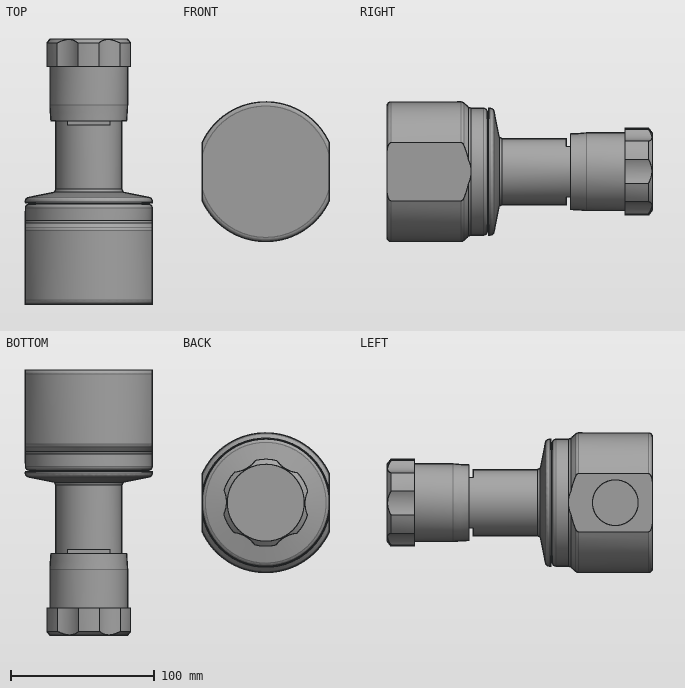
import cadquery as cq
import math

total_length = 185.5

head_diameter = 97.8
head_radius = head_diameter / 2
width_across_flats = 88.9
head_end_y = 52.9
head_front_round = 3.0
head_back_round = 3.0

ring_radius = width_across_flats / 2
ring_start_y = 58.8
ring_end_y = 70.1
ring_round = 2.8
root_cone_start_y = 57.0
root_cone_height = 0.7

groove_radius = 37.1
groove_width = 1.0

flange_start_y = ring_end_y + groove_width
flange_rim_width = 3.3
flange_round = 2.8
cone_small_radius = 24.1
cone_end_y = 78.5

shank_radius = 23.2
shank_fillet_length = 2.0
shank_flat_y = 125.5
shank_flat_spacing = 35.5

collar_radius = 27.3
collar_small_radius = 26.5
collar_start_y = 128.2
collar_taper_end_y = 139.5

nut_radius = 30.5
nut_start_y = 166.3
nut_chamfer_length = 2.8
nut_chamfer_depth = 3.5
scallop_count = 6
scallop_angle = 32.0
scallop_floor_radius = 27.5
nut_turn = 0.6

hole_diameter = 32.0
hole_depth = 17.0
hole_y = 26.0


def revolve_profile(points):
    """Revolve an outline of (radius, y) points about the Y axis."""
    return cq.Workplane("XY").polyline(points).close().revolve(360, (0, 0, 0), (0, 1, 0))


def cylinder_y(radius, start_y, end_y):
    plane = cq.Plane(origin=(0, start_y, 0), xDir=(1, 0, 0), normal=(0, 1, 0))
    return cq.Workplane(plane).circle(radius).extrude(end_y - start_y)


def make_head_and_ring():
    head = revolve_profile([
        (0, 0),
        (head_radius, 0),
        (head_radius, head_end_y),
        (ring_radius + root_cone_height, root_cone_start_y),
        (ring_radius, ring_start_y),
        (ring_radius, ring_end_y),
        (0, ring_end_y),
    ])
    head = head.edges(cq.selectors.RadiusNthSelector(-1)).edges("<Y").fillet(head_front_round)
    head = head.edges(cq.selectors.RadiusNthSelector(-1)).edges(">Y").fillet(head_back_round)
    head = head.edges(">Y").fillet(ring_round)
    flats = cq.Workplane("XY").box(
        width_across_flats, total_length, head_diameter, centered=(True, False, True)
    )
    return head.intersect(flats)


def make_flange():
    groove_core = cylinder_y(groove_radius, ring_end_y, flange_start_y)
    rim_end_y = flange_start_y + flange_rim_width
    flange = revolve_profile([
        (0, flange_start_y),
        (ring_radius, flange_start_y),
        (ring_radius, rim_end_y),
        (cone_small_radius, cone_end_y),
        (0, cone_end_y),
    ])
    rim_edges = cq.selectors.RadiusNthSelector(-1)
    flange = flange.edges(rim_edges).edges(">Y").fillet(flange_round)
    return groove_core.union(flange)


def make_shank():
    shank = cylinder_y(shank_radius, cone_end_y, shank_flat_y)
    root = revolve_profile([
        (0, cone_end_y),
        (cone_small_radius, cone_end_y),
        (shank_radius, cone_end_y + shank_fillet_length),
        (0, cone_end_y + shank_fillet_length),
    ])
    neck = cylinder_y(shank_radius, shank_flat_y, collar_start_y)
    flats = cq.Workplane("XY").box(
        head_diameter, total_length, shank_flat_spacing, centered=(True, False, True)
    )
    return shank.union(root).union(neck.intersect(flats))


def make_collar():
    return revolve_profile([
        (0, collar_start_y),
        (collar_small_radius, collar_start_y),
        (collar_radius, collar_taper_end_y),
        (collar_radius, nut_start_y),
        (0, nut_start_y),
    ])


def make_nut():
    nut = revolve_profile([
        (0, nut_start_y),
        (nut_radius, nut_start_y),
        (nut_radius, total_length - nut_chamfer_length),
        (nut_radius - nut_chamfer_depth, total_length),
        (0, total_length),
    ])
    half_chord = nut_radius * math.sin(math.radians(scallop_angle / 2))
    chord_distance = nut_radius * math.cos(math.radians(scallop_angle / 2))
    sagitta = chord_distance - scallop_floor_radius
    scallop_radius = (half_chord**2 + sagitta**2) / (2 * sagitta)
    cutter = cylinder_y(scallop_radius, nut_start_y, total_length)
    cutter = cutter.translate((scallop_floor_radius + scallop_radius, 0, 0))
    for index in range(scallop_count):
        angle = -nut_turn - index * 360 / scallop_count
        nut = nut.cut(cutter.rotate((0, 0, 0), (0, 1, 0), angle))
    return nut


def make_side_hole():
    plane = cq.Plane(origin=(-width_across_flats / 2, hole_y, 0), xDir=(0, 1, 0), normal=(1, 0, 0))
    return cq.Workplane(plane).circle(hole_diameter / 2).extrude(hole_depth)


result = (
    make_head_and_ring()
    .union(make_flange())
    .union(make_shank())
    .union(make_collar())
    .union(make_nut())
    .cut(make_side_hole())
)